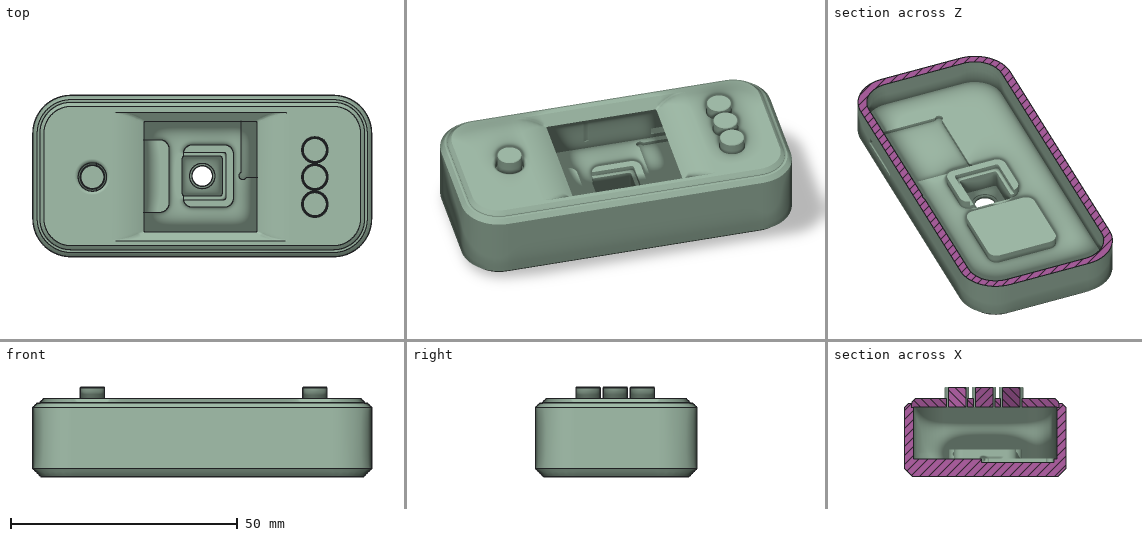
import cadquery as cq
import math

LENGTH = 74.8
WIDTH = 35.7
CORNER_RADIUS = 8.45
HOUSING_TOP = 16.3
BOTTOM_CHAMFER = 1.9
TOP_CHAMFER = 1.0
WALL = 2.0
FLOOR_TOP = 4.05

COVER_INSET = 1.6
COVER_BOTTOM = 15.3
COVER_TOP = 17.35
COVER_CHAMFER = 0.9
COVER_THICKNESS = COVER_TOP - COVER_BOTTOM

WINDOW_X = -0.4
WINDOW_TOP_LENGTH = 39.2
WINDOW_BOTTOM_LENGTH = 25.0
WINDOW_Y = -0.15
WINDOW_TOP_WIDTH = 28.4
WINDOW_BOTTOM_WIDTH = WINDOW_TOP_WIDTH - 2 * COVER_THICKNESS
WINDOW_FILLET = 0.5

BUTTON_DIAMETER = 5.4
BUTTON_TOP = 19.8
BUTTON_EDGE = 0.15
SINGLE_BUTTON = (-24.2, -0.2)
SINGLE_HOLE_DIAMETER = 6.3
SINGLE_HOLE_FILLET = 0.8
ROW_X = 24.8
ROW_PITCH = 6.0
ROW_HOLE_DIAMETER = 5.8
ROW_BUTTONS = [(ROW_X, SINGLE_BUTTON[1] + step * ROW_PITCH) for step in (-1, 0, 1)]

BEZEL_LEFT = -4.2
BEZEL_RIGHT = 6.9
BEZEL_WIDTH = 13.8
BEZEL_TOP = 6.05
BEZEL_CORNER_RADIUS = 2.0
STEP_RIGHT = 5.2
STEP_Z = 4.9
WELL_SIDE = 8.8
WELL_BOTTOM = 0.75
WELL_CORNER_RADIUS = 0.5
SENSOR_HOLE_DIAMETER = 4.5
SENSOR_BORE_DIAMETER = 5.6
SENSOR_BORE_DEPTH = 0.2

PAD_RIGHT = -7.3
PAD_SIDE = 16.0
PAD_CORNER_RADIUS = 2.0

RECESS_LEFT = 8.6
RECESS_RIGHT = 26.9
RECESS_BOTTOM_Y = -0.3
RECESS_TOP_Y = 14.6
RECESS_DEPTH = 0.8
RELIEF_DIAMETER = 1.7
RELIEF_INSET = 0.4

SLOT_LENGTH = 11.9
SLOT_BOTTOM = 5.0
SLOT_HEIGHT = 1.65

GROOVE_X = -2.85
GROOVE_DIAMETER = 2.55
GROOVE_DEPTH = 0.195
GROOVE_BOTTOM = 6.0


def rounded_block(inset, bottom, top):
    """Block with the housing outline, moved inwards by `inset`."""
    return (
        cq.Workplane("XY")
        .workplane(offset=bottom)
        .rect(LENGTH - 2 * inset, WIDTH - 2 * inset)
        .extrude(top - bottom)
        .edges("|Z")
        .fillet(CORNER_RADIUS - inset)
    )


def box_between(x_range, y_range, z_range):
    """Plain box that fills the given ranges."""
    low, high = zip(x_range, y_range, z_range)
    size = [b - a for a, b in zip(low, high)]
    return cq.Workplane("XY").box(*size, centered=False).translate(low)


def cylinder(center, diameter, bottom, top):
    """Upright cylinder."""
    base = cq.Workplane("XY").workplane(offset=bottom).center(*center)
    return base.circle(diameter / 2).extrude(top - bottom)


def make_bezel():
    """Raised block with a sunk step that runs out through its -X side."""
    half = BEZEL_WIDTH / 2
    block = box_between((BEZEL_LEFT, BEZEL_RIGHT), (-half, half), (FLOOR_TOP, BEZEL_TOP))
    block = block.edges("|Z").fillet(BEZEL_CORNER_RADIUS)
    step = box_between((BEZEL_LEFT, STEP_RIGHT), (-STEP_RIGHT, STEP_RIGHT), (STEP_Z, BEZEL_TOP))
    return block.cut(step.edges("|Z and >X").fillet(WELL_CORNER_RADIUS))


def make_pad():
    half = PAD_SIDE / 2
    block = box_between((PAD_RIGHT - PAD_SIDE, PAD_RIGHT), (-half, half), (FLOOR_TOP, BEZEL_TOP))
    return block.edges("|Z").fillet(PAD_CORNER_RADIUS)


def make_sensor_well():
    """Square well with a stepped round hole through the housing bottom."""
    half = WELL_SIDE / 2
    well = box_between((-half, half), (-half, half), (WELL_BOTTOM, BEZEL_TOP))
    well = well.edges("|Z").fillet(WELL_CORNER_RADIUS)
    bore = cylinder((0, 0), SENSOR_BORE_DIAMETER, WELL_BOTTOM - SENSOR_BORE_DEPTH, WELL_BOTTOM)
    hole = cylinder((0, 0), SENSOR_HOLE_DIAMETER, 0, WELL_BOTTOM)
    return well.union(bore).union(hole)


def make_board_recess():
    bottom = FLOOR_TOP - RECESS_DEPTH
    recess = box_between(
        (RECESS_LEFT, RECESS_RIGHT), (RECESS_BOTTOM_Y, RECESS_TOP_Y), (bottom, FLOOR_TOP)
    )
    for x in (RECESS_LEFT + RELIEF_INSET, RECESS_RIGHT - RELIEF_INSET):
        for y in (RECESS_BOTTOM_Y + RELIEF_INSET, RECESS_TOP_Y - RELIEF_INSET):
            recess = recess.union(cylinder((x, y), RELIEF_DIAMETER, bottom, FLOOR_TOP))
    return recess


def make_wall_slot():
    middle = (RECESS_LEFT + RECESS_RIGHT) / 2
    return box_between(
        (middle - SLOT_LENGTH / 2, middle + SLOT_LENGTH / 2),
        (WIDTH / 2 - 2 * WALL, WIDTH / 2),
        (SLOT_BOTTOM, SLOT_BOTTOM + SLOT_HEIGHT),
    )


def make_wall_groove():
    center_y = WIDTH / 2 - WALL + GROOVE_DEPTH - GROOVE_DIAMETER / 2
    return cylinder((GROOVE_X, center_y), GROOVE_DIAMETER, GROOVE_BOTTOM, COVER_BOTTOM)


def make_housing():
    shell = rounded_block(0, 0, HOUSING_TOP)
    shell = shell.faces("<Z").chamfer(BOTTOM_CHAMFER)
    shell = shell.faces(">Z").chamfer(TOP_CHAMFER)
    shell = shell.cut(rounded_block(WALL, FLOOR_TOP, COVER_BOTTOM))
    shell = shell.cut(rounded_block(COVER_INSET, COVER_BOTTOM, HOUSING_TOP))
    shell = shell.union(make_bezel()).union(make_pad())
    for pocket in (make_sensor_well(), make_board_recess(), make_wall_slot(), make_wall_groove()):
        shell = shell.cut(pocket)
    return shell


def make_window():
    """Window space: 45-degree slopes on the Y sides and round-overs, level at the top, on the X sides."""
    top = WINDOW_TOP_LENGTH / 2
    bottom = WINDOW_BOTTOM_LENGTH / 2
    run = top - bottom
    radius = (run**2 + COVER_THICKNESS**2) / (2 * COVER_THICKNESS)
    half_angle = math.asin(run / radius) / 2
    mid_x = top - radius * math.sin(half_angle)
    mid_z = COVER_TOP - radius * (1 - math.cos(half_angle))
    along = (
        cq.Workplane("XZ")
        .moveTo(-bottom, COVER_BOTTOM)
        .lineTo(bottom, COVER_BOTTOM)
        .threePointArc((mid_x, mid_z), (top, COVER_TOP))
        .lineTo(-top, COVER_TOP)
        .threePointArc((-mid_x, mid_z), (-bottom, COVER_BOTTOM))
        .close()
        .extrude(WINDOW_TOP_WIDTH / 2, both=True)
    )
    trapezoid = [
        (-WINDOW_BOTTOM_WIDTH / 2, COVER_BOTTOM),
        (WINDOW_BOTTOM_WIDTH / 2, COVER_BOTTOM),
        (WINDOW_TOP_WIDTH / 2, COVER_TOP),
        (-WINDOW_TOP_WIDTH / 2, COVER_TOP),
    ]
    across = cq.Workplane("YZ").polyline(trapezoid).close().extrude(top, both=True)
    window = along.intersect(across)
    for slope in ("<Y", ">Y"):
        window = window.faces(slope).edges("not |X").fillet(WINDOW_FILLET)
    return window.translate((WINDOW_X, WINDOW_Y, 0))


def make_cover():
    plate = rounded_block(COVER_INSET, COVER_BOTTOM, COVER_TOP)
    plate = plate.faces(">Z").chamfer(COVER_CHAMFER)
    plate = plate.cut(cylinder(SINGLE_BUTTON, SINGLE_HOLE_DIAMETER, COVER_BOTTOM, COVER_TOP))
    hole_mouth = plate.faces(">Z").edges("%CIRCLE").edges(cq.selectors.RadiusNthSelector(0))
    plate = hole_mouth.fillet(SINGLE_HOLE_FILLET)
    for center in ROW_BUTTONS:
        plate = plate.cut(cylinder(center, ROW_HOLE_DIAMETER, COVER_BOTTOM, COVER_TOP))
    return plate.cut(make_window())


def make_button(center):
    button = cylinder(center, BUTTON_DIAMETER, COVER_BOTTOM, BUTTON_TOP)
    return button.faces(">Z").chamfer(BUTTON_EDGE)


housing = make_housing()
cover = make_cover()
buttons = [make_button(center) for center in [SINGLE_BUTTON, *ROW_BUTTONS]]

result = cq.Compound.makeCompound([housing.val(), cover.val(), *[button.val() for button in buttons]])